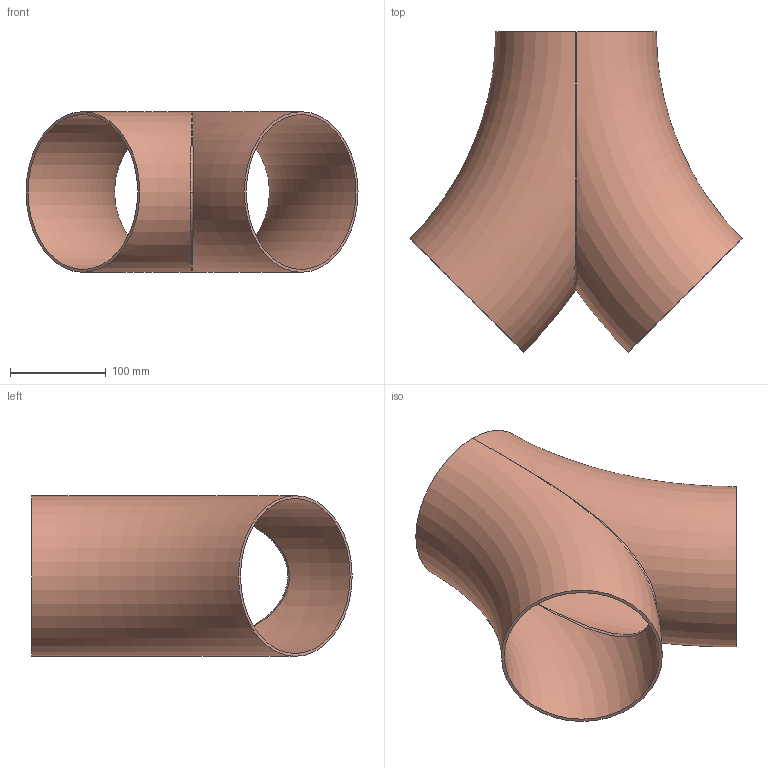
import cadquery as cq
outer_diameter = 168.3
wall = 3.0
bend_radius = 390.0
bend_angle = 45.0
outer_crotch_radius = 1.5

outer_radius = outer_diameter / 2
inner_radius = outer_radius - wall
inner_crotch_radius = outer_crotch_radius + wall

trim_size = 2 * (bend_radius + outer_diameter)
seam_tolerance = 0.001

inlet_plane = cq.Plane(origin=(0, 0, 0), xDir=(-1, 0, 0), normal=(0, 1, 0))


def bend(pipe_radius):
    """Solid round bar bent from the inlet plane toward -Y and +X."""
    axis_start = (-bend_radius, -1)
    axis_end = (-bend_radius, 1)
    return cq.Workplane(inlet_plane).circle(pipe_radius).revolve(bend_angle, axis_start, axis_end)


def half_branch(pipe_radius):
    """The part of one bend with X positive."""
    positive_x = cq.Workplane("XY").box(
        trim_size, trim_size, trim_size, centered=(False, True, True)
    )
    return bend(pipe_radius).intersect(positive_x)


def branches(pipe_radius, crotch_radius):
    """Both branches as a solid body, rounded along the seam where they meet."""
    half = half_branch(pipe_radius)
    body = half.union(half.mirror("YZ"))
    seam_region = cq.selectors.BoxSelector(
        (-seam_tolerance, -trim_size, -trim_size),
        (seam_tolerance, trim_size, trim_size),
        boundingbox=True,
    )
    return body.edges(seam_region).fillet(crotch_radius)


outside = branches(outer_radius, outer_crotch_radius)
bore = branches(inner_radius, inner_crotch_radius)

result = outside.cut(bore).solids()